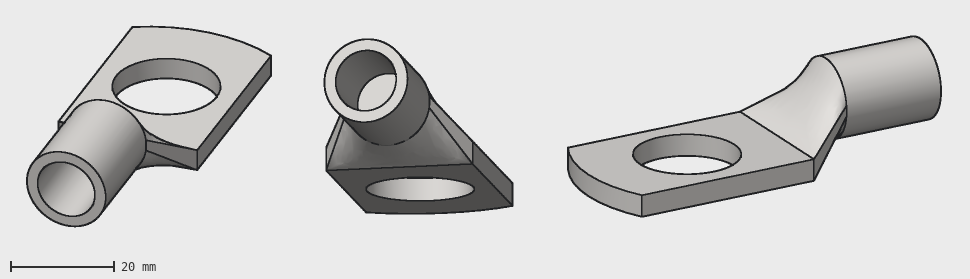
import cadquery as cq
import math

total_length = 74.0
palm_width = 29.0
palm_thickness = 4.5
tip_rise = 3.6
hole_diameter = 21.0
hole_y = 52.0
total_height = 18.5
barrel_diameter = 16.5
bore_diameter = 12.0
barrel_length = 21.1
neck_length = 10.9
neck_dip = 1.6
flank_angle = math.radians(8)
curve_steps = 12

palm_start = barrel_length + neck_length
barrel_radius = barrel_diameter / 2
barrel_axis_z = total_height - barrel_radius


def make_barrel():
    """Solid cylinder along +Y, starting at the cable entry."""
    section = cq.Workplane("XZ", origin=(0, 0, barrel_axis_z)).circle(barrel_radius)
    return section.extrude(-barrel_length)


def neck_point(blend, angle, palm_x, palm_z, dip):
    """Point between the palm edge (blend 0) and the barrel rim (blend 1), lowered by dip."""
    rim_x = barrel_radius * math.cos(angle)
    rim_z = barrel_axis_z + barrel_radius * math.sin(angle)
    x = palm_x + blend * (rim_x - palm_x)
    z = palm_z + blend * (rim_z - palm_z) - dip
    return (x, z)


def neck_curve(blend, side, dip):
    """Points across the upper (side=1) or lower (side=-1) neck surface, from +X to -X."""
    palm_z = palm_thickness if side > 0 else 0
    points = []
    for step in range(curve_steps + 1):
        fraction = step / curve_steps
        angle = side * (flank_angle + fraction * (math.pi - 2 * flank_angle))
        palm_x = palm_width * (0.5 - fraction)
        local_dip = dip * math.sin(math.pi * fraction)
        points.append(neck_point(blend, angle, palm_x, palm_z, local_dip))
    return points


def neck_section(blend, dip=0):
    """Closed section: curved top and bottom joined by straight flanks."""
    top = neck_curve(blend, 1, dip)
    bottom = neck_curve(blend, -1, 0)
    bottom.reverse()
    y = palm_start - blend * neck_length
    outline = (
        cq.Workplane("XZ", origin=(0, y, 0))
        .moveTo(*top[0])
        .spline(top[1:], includeCurrent=True)
        .lineTo(*bottom[0])
        .spline(bottom[1:], includeCurrent=True)
        .close()
    )
    return outline.val()


def make_neck():
    """Smooth transition from the flat palm to the round barrel, hollowed along its top."""
    sections = [neck_section(0), neck_section(0.5, neck_dip), neck_section(1)]
    return cq.Workplane(cq.Solid.makeLoft(sections))


def make_palm():
    """Flat plate with an arched tip and a stud hole."""
    half_width = palm_width / 2
    corner_y = total_length - tip_rise
    plate = (
        cq.Workplane("XY")
        .moveTo(-half_width, palm_start)
        .lineTo(half_width, palm_start)
        .lineTo(half_width, corner_y)
        .threePointArc((0, total_length), (-half_width, corner_y))
        .close()
        .extrude(palm_thickness)
    )
    hole = cq.Workplane("XY").center(0, hole_y).circle(hole_diameter / 2).extrude(palm_thickness)
    return plate.cut(hole)


bore = (
    cq.Workplane("XZ", origin=(0, 0, barrel_axis_z))
    .circle(bore_diameter / 2)
    .extrude(-barrel_length)
)

result = make_barrel().union(make_neck()).union(make_palm()).cut(bore)